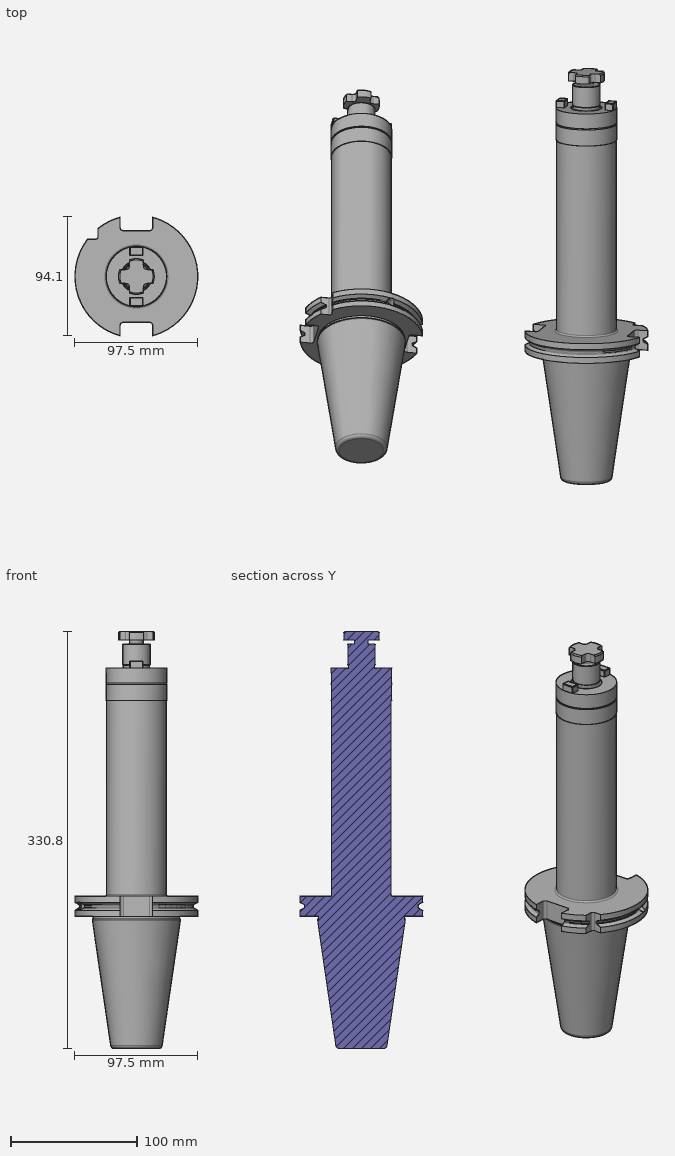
import cadquery as cq
import math

gauge_diameter = 69.85
taper_ratio = 7 / 24
taper_length = 101.75
taper_end_fillet = 3.0
relief_height = 1.0
relief_depth = 0.6

flange_radius = 97.5 / 2
flange_bottom = 3.2
flange_top = 19.1
groove_center = 11.1
groove_floor_radius = 45.2
groove_floor_width = 2.2
groove_fillet = 0.8
groove_wall_angle = 30

slot_width = 25.7
slot_floor_offset = 36.4
slot_corner_radius = 2.5
notch_x = -30.5
notch_y = 29.6
notch_corner_radius = 1.8

groove_hole_diameter = 7.0
groove_hole_depth = 4.0
groove_hole_angle = 200

body_radius = 47.5 / 2
body_root_fillet = 1.25
collar_radius = 48.2 / 2
collar_bottom = 174.0
collar_line_height = 187.5
collar_line_width = 1.0
collar_line_depth = 0.15
shoulder_height = 200.0

pilot_radius = 22.0 / 2
pilot_height = 19.0
pilot_chamfer = 0.5
undercut_height = 2.5
undercut_depth = 0.5
undercut_fillet = 0.5
face_groove_radius = 12.4
face_groove_depth = 0.4

key_width = 10.6
key_inner = 16.5
key_outer = 23.6
key_height = 5.6
key_chamfer = 0.6

screw_neck_radius = 5.5
screw_neck_fillet = 0.7
screw_head_radius = 14.2
screw_head_bottom = 222.0
screw_head_top = 229.0
screw_head_chamfer = 1.0
cross_arm_width = 11.0
cross_corner_radius = 3.0


def make_turned_body():
    """Taper, flange, arbor, collar and pilot as one revolved profile."""
    gauge_radius = gauge_diameter / 2
    taper_end_radius = gauge_radius - taper_length * taper_ratio / 2
    relief_radius = gauge_radius - relief_depth
    wall_angle = math.radians(groove_wall_angle)
    groove_rise = (flange_radius - groove_floor_radius) * math.tan(wall_angle)
    floor_half = groove_floor_width / 2
    mouth_half = floor_half + groove_rise
    tangent_length = groove_fillet * math.tan((math.pi / 2 - wall_angle) / 2)
    fillet_wall_radius = groove_floor_radius + tangent_length * math.cos(wall_angle)
    fillet_wall_half = floor_half + tangent_length * math.sin(wall_angle)
    fillet_floor_half = floor_half - tangent_length
    undercut_radius = pilot_radius - undercut_depth
    undercut_floor = shoulder_height - face_groove_depth
    undercut_top = shoulder_height + undercut_height
    pilot_top = shoulder_height + pilot_height
    profile = (
        cq.Workplane("XZ")
        .moveTo(0, -taper_length)
        .lineTo(taper_end_radius, -taper_length)
        .lineTo(gauge_radius, 0)
        .lineTo(gauge_radius, relief_height)
        .lineTo(relief_radius, relief_height)
        .lineTo(relief_radius, flange_bottom)
        .lineTo(flange_radius, flange_bottom)
        .lineTo(flange_radius, groove_center - mouth_half)
        .lineTo(fillet_wall_radius, groove_center - fillet_wall_half)
        .radiusArc((groove_floor_radius, groove_center - fillet_floor_half), groove_fillet)
        .lineTo(groove_floor_radius, groove_center + fillet_floor_half)
        .radiusArc((fillet_wall_radius, groove_center + fillet_wall_half), groove_fillet)
        .lineTo(flange_radius, groove_center + mouth_half)
        .lineTo(flange_radius, flange_top)
        .lineTo(body_radius + body_root_fillet, flange_top)
        .radiusArc((body_radius, flange_top + body_root_fillet), body_root_fillet)
        .lineTo(body_radius, collar_bottom)
        .lineTo(collar_radius, collar_bottom)
        .lineTo(collar_radius, shoulder_height)
        .lineTo(face_groove_radius, shoulder_height)
        .lineTo(face_groove_radius - face_groove_depth, undercut_floor)
        .lineTo(undercut_radius + undercut_fillet, undercut_floor)
        .radiusArc((undercut_radius, undercut_floor + undercut_fillet), undercut_fillet)
        .lineTo(undercut_radius, undercut_top - undercut_depth)
        .lineTo(pilot_radius, undercut_top)
        .lineTo(pilot_radius, pilot_top - pilot_chamfer)
        .lineTo(pilot_radius - pilot_chamfer, pilot_top)
        .lineTo(screw_neck_radius + screw_neck_fillet, pilot_top)
        .radiusArc((screw_neck_radius, pilot_top + screw_neck_fillet), screw_neck_fillet)
        .lineTo(screw_neck_radius, screw_head_bottom)
        .lineTo(0, screw_head_bottom)
        .close()
    )
    body = profile.revolve(360, (0, 0, 0), (0, 1, 0))
    return body.faces("<Z").edges().fillet(taper_end_fillet)


def make_collar_line():
    """Shallow ring groove around the collar."""
    ring = cq.Workplane("XY").workplane(offset=collar_line_height - collar_line_width / 2)
    return (
        ring.circle(2 * collar_radius)
        .circle(collar_radius - collar_line_depth)
        .extrude(collar_line_width)
    )


def make_drive_slot(side):
    """Drive slot through the flange on the +Y or -Y side."""
    slot_length = flange_radius
    slot = (
        cq.Workplane("XY")
        .box(slot_width, slot_length, flange_top - flange_bottom, centered=(True, False, False))
        .edges("|Z and <Y")
        .fillet(slot_corner_radius)
        .translate((0, slot_floor_offset, flange_bottom))
    )
    if side < 0:
        slot = slot.rotate((0, 0, 0), (0, 0, 1), 180)
    return slot


def make_notch():
    """Orientation notch through the flange at its -X, +Y edge."""
    size = flange_radius
    return (
        cq.Workplane("XY")
        .box(size, size, flange_top - flange_bottom, centered=False)
        .edges("|Z and >X and <Y")
        .fillet(notch_corner_radius)
        .translate((notch_x - size, notch_y, flange_bottom))
    )


def make_groove_hole():
    """Blind hole pointing from the groove floor towards the axis."""
    hole = (
        cq.Workplane("YZ")
        .center(0, groove_center)
        .circle(groove_hole_diameter / 2)
        .extrude(flange_radius)
        .translate((groove_floor_radius - groove_hole_depth, 0, 0))
    )
    return hole.rotate((0, 0, 0), (0, 0, 1), groove_hole_angle)


def make_key(side):
    """Driving key on the shoulder, on the +Y or -Y side."""
    length = key_outer - key_inner
    key = (
        cq.Workplane("XY")
        .box(key_width, length, key_height, centered=(True, True, False))
        .edges("|Z or >Z")
        .chamfer(key_chamfer)
    )
    return key.translate((0, side * (key_inner + key_outer) / 2, shoulder_height))


def make_screw_head():
    """Round head cut into four arms by rounded corner valleys."""
    head_height = screw_head_top - screw_head_bottom
    head = (
        cq.Workplane("XY")
        .workplane(offset=screw_head_bottom)
        .circle(screw_head_radius)
        .extrude(head_height)
        .faces(">Z")
        .chamfer(screw_head_chamfer)
    )
    valley_size = screw_head_radius
    valley = (
        cq.Workplane("XY")
        .box(valley_size, valley_size, head_height, centered=False)
        .edges("|Z and <X and <Y")
        .fillet(cross_corner_radius)
        .translate((cross_arm_width / 2, cross_arm_width / 2, screw_head_bottom))
    )
    for quarter in range(4):
        head = head.cut(valley.rotate((0, 0, 0), (0, 0, 1), 90 * quarter))
    return head


result = make_turned_body().cut(make_collar_line()).cut(make_notch()).cut(make_groove_hole())
for side in (-1, 1):
    result = result.cut(make_drive_slot(side))
    result = result.union(make_key(side))
result = result.union(make_screw_head())